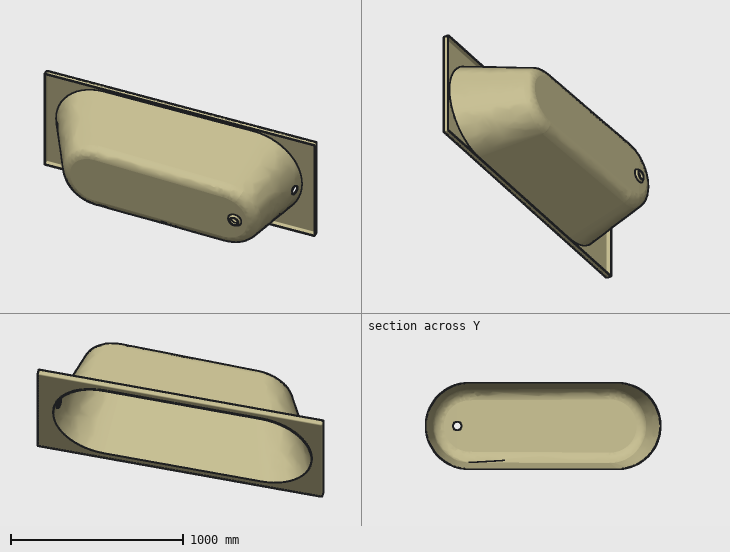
import math

import cadquery as cq

wall = 6.0
overall_depth = 468.0

rim_length = 1700.0
rim_width = 700.0
rim_depth = 35.0
rim_round = 10.0
top_round = 9.5

mouth_left = -788.0
mouth_right = 757.0
mouth_half_width = 304.0

left_lean = 27.5
right_lean = 13.5
side_lean = 12.4

floor_depth = 454.0
floor_slope = 1.4
floor_round = 70.0

drain_x = 516.0
drain_base_radius = 42.0
drain_tip_radius = 29.0
drain_hole_radius = 24.0

overflow_radius = 27.0
overflow_depth = 75.0
overflow_reach = 60.0


def tangent(angle):
    return math.tan(math.radians(angle))


def cosine(angle):
    return math.cos(math.radians(angle))


def plane_at(depth):
    """Workplane at a depth below the rim top, local axes along X and Z, facing -Y."""
    return cq.Workplane("XZ", origin=(0, -depth, 0))


def rim_block(length, width, top_depth, corner_radius, edge_radius):
    """Plate with rounded corners and a rounded top edge, ending level with the skirt."""
    return (
        plane_at(top_depth)
        .rect(length, width)
        .extrude(rim_depth - top_depth)
        .edges("|Y")
        .fillet(corner_radius)
        .faces(">Y")
        .edges()
        .fillet(edge_radius)
    )


def rim():
    """Deck and skirt, left open underneath."""
    outside = rim_block(rim_length, rim_width, 0, rim_round, top_round)
    inside = rim_block(
        rim_length - 2 * wall,
        rim_width - 2 * wall,
        wall,
        rim_round - wall,
        top_round - wall,
    )
    return outside.cut(inside)


def basin_outline(depth, inset):
    """Slot-shaped wire of the leaning walls at a depth, drawn in from the outer wall by inset."""

    def inward(lean):
        return (depth - wall) * tangent(lean) + inset / cosine(lean)

    left = mouth_left + inward(left_lean)
    right = mouth_right - inward(right_lean)
    half_width = mouth_half_width - inward(side_lean)
    left_centre = left + half_width
    right_centre = right - half_width
    return (
        plane_at(depth)
        .moveTo(left_centre, half_width)
        .lineTo(right_centre, half_width)
        .threePointArc((right, 0), (right_centre, -half_width))
        .lineTo(left_centre, -half_width)
        .threePointArc((left, 0), (left_centre, half_width))
        .close()
        .wires()
        .val()
    )


def space_above_floor(lowest):
    """Block whose underside is the sloping floor, with its level stretch at the lowest depth."""
    end_x = rim_length / 2
    floor_rise = (drain_x + end_x) * tangent(floor_slope)
    profile = [
        (-end_x, 0),
        (-end_x, floor_rise - lowest),
        (drain_x, -lowest),
        (end_x, -lowest),
        (end_x, 0),
    ]
    return cq.Workplane("XY").polyline(profile).close().extrude(rim_width / 2, both=True)


def basin(top_depth, inset):
    """Solid basin with leaning walls, sloping floor and a rounded floor edge."""
    outlines = [basin_outline(top_depth, inset), basin_outline(overall_depth, inset)]
    walls = cq.Workplane(cq.Solid.makeLoft(outlines, True))
    body = walls.intersect(space_above_floor(floor_depth - inset))
    both_floors = body.faces("%PLANE").faces("not >Y")
    return both_floors.edges("not |Z").fillet(floor_round - inset)


def drain_spout():
    """Cone below the floor on a short collar that seats it in the floor sheet."""
    down = cq.Vector(0, -1, 0)
    collar_start = cq.Vector(drain_x, wall - floor_depth, 0)
    cone_start = cq.Vector(drain_x, -floor_depth, 0)
    collar = cq.Solid.makeCylinder(drain_base_radius, wall, collar_start, down)
    cone = cq.Solid.makeCone(
        drain_base_radius, drain_tip_radius, overall_depth - floor_depth, cone_start, down
    )
    return cq.Workplane(collar).union(cq.Workplane(cone))


def drain_hole():
    return plane_at(0).center(drain_x, 0).circle(drain_hole_radius).extrude(overall_depth)


def overflow_hole():
    """Cylinder centred on the right end wall and square to it."""
    wall_x = mouth_right - (overflow_depth - wall) * tangent(right_lean)
    outward = cq.Vector(1, -tangent(right_lean), 0)
    middle = cq.Vector(wall_x, -overflow_depth, 0)
    start = middle - outward.normalized() * (overflow_reach / 2)
    return cq.Workplane(cq.Solid.makeCylinder(overflow_radius, overflow_reach, start, outward))


outside = rim().union(basin(wall, 0)).union(drain_spout())
bathtub = outside.cut(basin(0, wall))
result = bathtub.cut(drain_hole()).cut(overflow_hole()).solids()